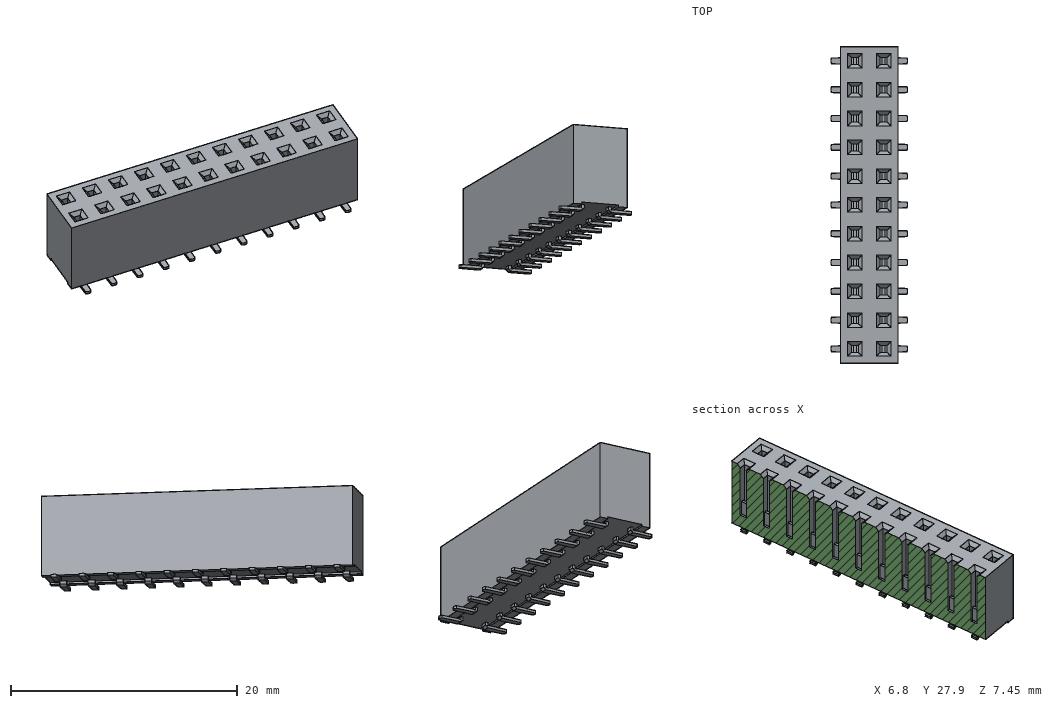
import cadquery as cq

rows = 11
body_length = 27.95
pitch = body_length / rows
body_width = 2 * pitch
total_width = 6.8
total_height = 7.45

rail_bottom = 0.34
rail_height = 0.17
rail_width = 0.8

mouth_size = 1.29
well_size = 0.61
mouth_depth = (mouth_size - well_size) / 2
well_floor = 1.87

strip_thickness = 0.25
strip_width = 0.61
tip_width = 0.53
tip_bulge = 0.08
heel_chamfer = 0.22
contact_top = 3.27

column_x = pitch / 2
leg_inner = column_x - strip_thickness / 2
leg_outer = column_x + strip_thickness / 2
foot_end = total_width / 2


def row_y(row):
    return (row - (rows - 1) / 2) * pitch


def make_housing():
    """Block with a full-length channel between two bottom rails."""
    block = cq.Workplane("XY").workplane(offset=rail_bottom).rect(body_width, body_length)
    block = block.extrude(total_height - rail_bottom)
    channel = cq.Workplane("XY").workplane(offset=rail_bottom)
    channel = channel.rect(body_width - 2 * rail_width, body_length).extrude(rail_height)
    return block.cut(channel)


def make_socket():
    """Cutting solid for one socket, centred on the Z axis."""
    mouth = (
        cq.Workplane("XY")
        .workplane(offset=total_height - mouth_depth)
        .rect(well_size, well_size)
        .workplane(offset=mouth_depth)
        .rect(mouth_size, mouth_size)
        .loft(ruled=True)
    )
    well = cq.Workplane("XY").workplane(offset=well_floor).rect(well_size, well_size)
    well = well.extrude(total_height - mouth_depth - well_floor)
    return mouth.union(well)


def make_contact():
    """Right-hand contact: upright leg with a chamfered heel and a foot, centred on Y = 0."""
    leg = (
        cq.Workplane("XZ")
        .moveTo(leg_inner, contact_top)
        .lineTo(leg_inner, heel_chamfer)
        .lineTo(leg_inner + heel_chamfer, 0)
        .lineTo(leg_outer, 0)
        .lineTo(leg_outer, contact_top)
        .close()
        .extrude(strip_width / 2, both=True)
    )
    foot = (
        cq.Workplane("XY")
        .moveTo(leg_outer, -strip_width / 2)
        .lineTo(foot_end - tip_bulge, -tip_width / 2)
        .threePointArc((foot_end, 0), (foot_end - tip_bulge, tip_width / 2))
        .lineTo(leg_outer, strip_width / 2)
        .close()
        .extrude(strip_thickness)
    )
    return leg.union(foot)


socket = make_socket()
right_contact = make_contact()
left_contact = right_contact.mirror("YZ")

result = make_housing()
for row in range(rows):
    for side in (-1, 1):
        result = result.cut(socket.translate((side * column_x, row_y(row), 0)))
for row in range(rows):
    for contact in (left_contact, right_contact):
        result = result.union(contact.translate((0, row_y(row), 0)))